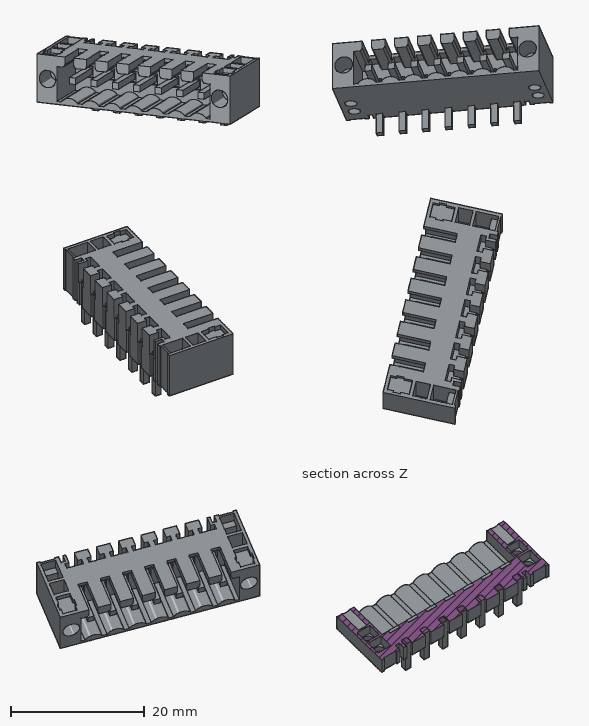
import cadquery as cq


LENGTH = 31.5
DEPTH = 11.05
HEIGHT = 7.5

PIN_COUNT = 7
PITCH = 3.5
PIN_WIDTH = 1.0
PIN_TIP_Y = 1.23
PIN_REAR_Y = 10.7
PIN_BOTTOM_Z = -3.15
PIN_CENTER_Z = 3.55
PIN_TOP_Z = PIN_CENTER_Z + PIN_WIDTH / 2
PIN_XS = [(i - (PIN_COUNT - 1) / 2) * PITCH for i in range(PIN_COUNT)]

CAVITY_LENGTH = 25.0
CAVITY_BACK_Y = 6.93
CAVITY_FLOOR_Z = 0.47
CAVITY_ROOF_Z = 5.9
RECESS_WIDTH = 1.75
RECESS_DEPTH = 0.5

HUMP_WIDTH = 2.75
HUMP_HEIGHT = 0.7
GROOVE_MOUTH_WIDTH = 2.0
GROOVE_TOP_WIDTH = 0.95
GROOVE_TOP_Z = 6.93
GROOVE_FLANK_BULGE = 0.05
SLOT_WIDTH = 1.42
SLOT_LENGTH = 5.15

TEE_FRONT_Y = 8.63
TEE_BAR_WIDTH = 2.6
TEE_BAR_DEPTH = 0.85
TEE_STEM_WIDTH = 1.35
TEE_FLOOR_Z = 4.4
TEE_FLOOR_REAR_Y = 10.52

END_HOLE_X = LENGTH / 2 - 1.73
FRONT_HOLE_DIAMETER = 2.68
FRONT_HOLE_DEPTH = 4.1
FRONT_HOLE_Z = 3.78
KEY_POCKET_DEPTH = 0.75
KEY_BODY_WIDTH = 2.25
KEY_BODY_FRONT_Y = 0.55
KEY_BODY_REAR_Y = 3.87
KEY_EAR_WIDTH = 2.68
KEY_EAR_FRONT_Y = 1.48
KEY_EAR_REAR_Y = 2.55
WELL_X = LENGTH / 2 - 1.67
WELL_WIDTH = 2.33
WELL_FLOOR_Z = 1.0
FRONT_WELL_Y = (4.45, 6.65)
REAR_WELL_Y = (7.12, 10.55)
SHELF_FRONT_Y = 9.48
SHELF_Z = 5.73
SCREW_HOLE_DIAMETER = 1.83
SCREW_HOLE_YS = (5.5, 8.2)
REAR_RECESS_DEPTH = 0.2
NOTCH_X = 11.95
NOTCH_WIDTH = 0.65
NOTCH_DEPTH = 1.13


def box_between(center_x, width, y_range, z_range):
    """Box centred at center_x and spanning the given Y and Z ranges."""
    y0, y1 = y_range
    z0, z1 = z_range
    return cq.Workplane("XY").box(width, y1 - y0, z1 - z0, centered=(True, False, False)).translate(
        (center_x, y0, z0)
    )


def pin(center_x):
    """Right-angle contact: a horizontal blade with a leg going down at the rear."""
    blade = box_between(
        center_x, PIN_WIDTH, (PIN_TIP_Y, PIN_REAR_Y), (PIN_TOP_Z - PIN_WIDTH, PIN_TOP_Z)
    )
    leg = box_between(
        center_x, PIN_WIDTH, (PIN_REAR_Y - PIN_WIDTH, PIN_REAR_Y), (PIN_BOTTOM_Z, PIN_TOP_Z)
    )
    return blade.union(leg)


def floor_hump(center_x):
    """Round-topped rib along the cavity floor."""
    half = HUMP_WIDTH / 2
    return (
        cq.Workplane("XZ")
        .moveTo(center_x - half, CAVITY_FLOOR_Z)
        .threePointArc(
            (center_x, CAVITY_FLOOR_Z + HUMP_HEIGHT), (center_x + half, CAVITY_FLOOR_Z)
        )
        .close()
        .extrude(-CAVITY_BACK_Y)
    )


def roof_groove(center_x):
    """Groove in the cavity roof with bowed flanks, opened to the top by a narrower slot at the front."""
    mouth = GROOVE_MOUTH_WIDTH / 2
    top = GROOVE_TOP_WIDTH / 2
    flank_middle = (mouth + top) / 2 - GROOVE_FLANK_BULGE
    flank_middle_z = (CAVITY_ROOF_Z + GROOVE_TOP_Z) / 2
    groove = (
        cq.Workplane("XZ")
        .moveTo(center_x - mouth, CAVITY_ROOF_Z)
        .lineTo(center_x + mouth, CAVITY_ROOF_Z)
        .threePointArc((center_x + flank_middle, flank_middle_z), (center_x + top, GROOVE_TOP_Z))
        .lineTo(center_x - top, GROOVE_TOP_Z)
        .threePointArc((center_x - flank_middle, flank_middle_z), (center_x - mouth, CAVITY_ROOF_Z))
        .close()
        .extrude(-CAVITY_BACK_Y)
    )
    slot = box_between(center_x, SLOT_WIDTH, (0, SLOT_LENGTH), (CAVITY_ROOF_Z, HEIGHT))
    return groove.union(slot)


def pin_passage(center_x):
    """Clearance from the cavity to the rear: front recess, bore for the blade, open slot for the leg."""
    half = RECESS_WIDTH / 2
    recess = box_between(
        center_x,
        RECESS_WIDTH,
        (CAVITY_BACK_Y, CAVITY_BACK_Y + RECESS_DEPTH),
        (PIN_CENTER_Z - half, PIN_CENTER_Z + half),
    )
    bore = box_between(
        center_x, PIN_WIDTH, (CAVITY_BACK_Y, PIN_REAR_Y), (PIN_TOP_Z - PIN_WIDTH, PIN_TOP_Z)
    )
    leg_slot = box_between(center_x, PIN_WIDTH, (PIN_REAR_Y - PIN_WIDTH, DEPTH), (0, PIN_TOP_Z))
    return recess.union(bore).union(leg_slot)


def tee_pocket(center_x):
    """T-shaped pocket above the contact, stepping down to the contact top at the open rear."""
    bar = box_between(
        center_x, TEE_BAR_WIDTH, (TEE_FRONT_Y, TEE_FRONT_Y + TEE_BAR_DEPTH), (TEE_FLOOR_Z, HEIGHT)
    )
    stem = box_between(center_x, TEE_STEM_WIDTH, (TEE_FRONT_Y, DEPTH), (TEE_FLOOR_Z, HEIGHT))
    rear_step = box_between(center_x, TEE_STEM_WIDTH, (TEE_FLOOR_REAR_Y, DEPTH), (PIN_TOP_Z, HEIGHT))
    return bar.union(stem).union(rear_step)


def front_hole(side):
    """Blind round hole in the front face of one mounting end."""
    return (
        cq.Workplane("XZ")
        .center(side * END_HOLE_X, FRONT_HOLE_Z)
        .circle(FRONT_HOLE_DIAMETER / 2)
        .extrude(-FRONT_HOLE_DEPTH)
    )


def key_pocket(side):
    """Shallow rectangular pocket with an ear on each side."""
    center_x = side * END_HOLE_X
    z_range = (HEIGHT - KEY_POCKET_DEPTH, HEIGHT)
    body = box_between(center_x, KEY_BODY_WIDTH, (KEY_BODY_FRONT_Y, KEY_BODY_REAR_Y), z_range)
    ears = box_between(center_x, KEY_EAR_WIDTH, (KEY_EAR_FRONT_Y, KEY_EAR_REAR_Y), z_range)
    return body.union(ears)


def wells(side):
    """Two deep wells with screw holes through their floors; the rear well has a shelf."""
    center_x = side * WELL_X
    front_well = box_between(center_x, WELL_WIDTH, FRONT_WELL_Y, (WELL_FLOOR_Z, HEIGHT))
    rear_well = box_between(center_x, WELL_WIDTH, REAR_WELL_Y, (WELL_FLOOR_Z, HEIGHT))
    shelf = box_between(center_x, WELL_WIDTH, (SHELF_FRONT_Y, REAR_WELL_Y[1]), (WELL_FLOOR_Z, SHELF_Z))
    screw_holes = (
        cq.Workplane("XY")
        .pushPoints([(side * END_HOLE_X, y) for y in SCREW_HOLE_YS])
        .circle(SCREW_HOLE_DIAMETER / 2)
        .extrude(HEIGHT / 2)
    )
    return front_well.union(rear_well.cut(shelf)).union(screw_holes)


def rear_cuts(side):
    """Shallow recess and narrow notch down the full height of the rear face."""
    recess = box_between(side * WELL_X, WELL_WIDTH, (DEPTH - REAR_RECESS_DEPTH, DEPTH), (0, HEIGHT))
    notch = box_between(side * NOTCH_X, NOTCH_WIDTH, (DEPTH - NOTCH_DEPTH, DEPTH), (0, HEIGHT))
    return recess.union(notch)


def make_housing():
    """Housing block with its cavity, contact passages and mounting ends."""
    body = box_between(0, LENGTH, (0, DEPTH), (0, HEIGHT))
    body = body.cut(box_between(0, CAVITY_LENGTH, (0, CAVITY_BACK_Y), (CAVITY_FLOOR_Z, CAVITY_ROOF_Z)))
    for x in PIN_XS:
        body = body.union(floor_hump(x))
        body = body.cut(roof_groove(x))
        body = body.cut(pin_passage(x))
        body = body.cut(tee_pocket(x))
    for side in (-1, 1):
        body = body.cut(front_hole(side))
        body = body.cut(key_pocket(side))
        body = body.cut(wells(side))
        body = body.cut(rear_cuts(side))
    return body


housing = make_housing()
pins = [pin(x) for x in PIN_XS]

result = cq.Compound.makeCompound([housing.val(), *[p.val() for p in pins]])